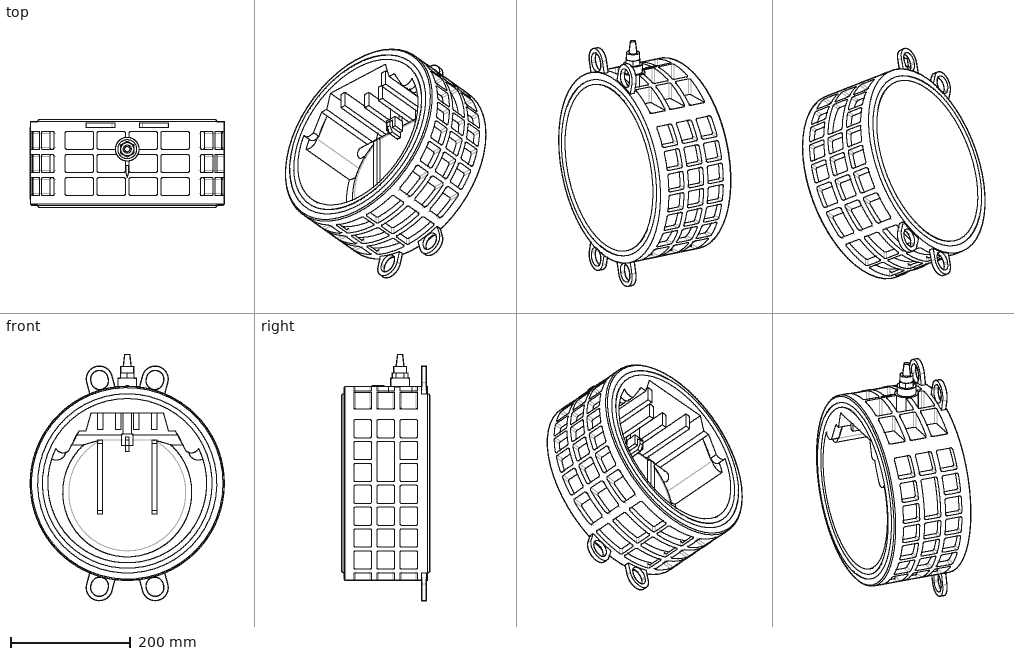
import cadquery as cq
import math

BODY_RADIUS = 162.5
BODY_HALF_LENGTH = 70.0
FRONT_CHAMFER = 2.2
BEAD_RADIUS = 4.0
BEAD_RING_RADIUS = 146.0
BORE_RADIUS = 133.0
PLATE_FACE_Y = 54.5
FRONT_WALL = 14.0
OVERSIZE = 20.0

ROOF_Z = 117.9
ROOF_HALF_WIDTH = 60.6
SHOULDER_Z = 88.0
SHOULDER_INNER_X = 69.0
SHOULDER_OUTER_X = 80.3
FRONT_LOBE_START = (98.4, 54.0)
FRONT_LOBE_MIDDLE = (108.5, 51.0)
FRONT_LOBE_END = (120.0, 59.7)
INNER_LOBE_START = (103.0, 51.5)
INNER_LOBE_MIDDLE = (114.5, 39.5)
INNER_LOBE_END = (127.5, 41.5)

POCKET_CORNER = 3.0
ROW_PITCH = 38.6
ROW_WIDTH = 29.8
ROWS_Y = (-ROW_PITCH, 0.0, ROW_PITCH)
TOP_POCKET_WIDTH = 47.8
TOP_POCKET_WEB = 5.6
TOP_POCKET_FLOOR_Z = 124.5
SIDE_POCKET_HEIGHT = 30.6
SIDE_POCKET_PITCH = 36.6
SIDE_POCKETS_ABOVE_AXIS = 3
SIDE_POCKETS_BELOW_AXIS = 4
POCKET_FLOOR_RADIUS = 150.0
BOTTOM_POCKET_INNER_X = 3.0
BOTTOM_POCKET_OUTER_X = 63.0

EYE_ANGLE = 15.0
EYE_DISTANCE = 180.6
EYE_RADIUS = 22.0
EYE_HOLE_RADIUS = 14.4
EYE_HOLE_STRETCH = 3.0
EYE_BACK_Y = 68.0
EYE_THICKNESS = 8.0

DISC_RADIUS = 108.0
DISC_CENTRE_Z = -15.0
DISC_FACE_Y = 35.0
DISC_RIM_FILLET = 10.0
HINGE_Z = 72.6
HINGE_RADIUS = 8.0
HINGE_HALF_LENGTH = 110.0
DISC_RIB_X = 45.5
DISC_RIB_WIDTH = 8.0
DISC_RIB_HEIGHT = 7.5
DISC_RIB_BOTTOM_Z = -51.0
DISC_RIB_BEVEL_LENGTH = 6.0
DISC_RIB_BEVEL_DEPTH = 4.0
ROOF_RIB_PITCH = 30.0
ROOF_RIB_WIDTH = 9.0
ROOF_RIB_BOTTOM_Z = 90.0
INNER_ROOF_RIB_FRONT_Y = -30.0

STEM_Y = 24.0
STEM_RADIUS = 7.3
COLUMN_RADIUS = 19.8
GLAND_RADIUS = 15.9
GLAND_TOP_Z = 176.0
NUT_CORNER_DIAMETER = 26.5
NUT_TOP_Z = 185.0
NECK_RADIUS = 11.0
NECK_TOP_Z = 196.0
TIP_BASE_RADIUS = 6.8
TIP_TOP_RADIUS = 4.4
TIP_TOP_Z = 216.1
HUB_WIDTH = 19.0
HUB_BOTTOM_Z = 63.0
HUB_TOP_Z = 83.0
ARM_WIDTH = 6.5
ARM_REACH = 6.0
ARM_TOP_Z = 78.0
ARM_UPPER_BEND_Z = 72.6
ARM_BOTTOM_Z = 53.0

POINTER_WIDTH = 3.4
POINTER_START_Y = -3.0
POINTER_SHOULDER_Y = -17.0
POINTER_TIP_Y = -23.0
POINTER_TOP_Z = 163.6
POINTER_HEIGHT = 6.0


def rod_along_y(radius, start_y, end_y):
    """Cylinder on the pipe axis."""
    return cq.Workplane("XZ", origin=(0, start_y, 0)).circle(radius).extrude(start_y - end_y)


def rod_along_z(radius, start_z, end_z):
    """Cylinder on the stem axis."""
    return cq.Workplane("XY", origin=(0, STEM_Y, start_z)).circle(radius).extrude(end_z - start_z)


def block(x_range, y_range, z_range):
    """Axis-aligned box from its limits."""
    size = [high - low for low, high in (x_range, y_range, z_range)]
    corner = (x_range[0], y_range[0], z_range[0])
    return cq.Workplane("XY").box(*size, centered=False).translate(corner)


def make_shell():
    """Plain drum with a rounded sealing bead on each end face."""
    shell = rod_along_y(BODY_RADIUS, -BODY_HALF_LENGTH, BODY_HALF_LENGTH)
    shell = shell.faces("<Y").chamfer(FRONT_CHAMFER)
    for end_y in (-BODY_HALF_LENGTH, BODY_HALF_LENGTH):
        bead = cq.Solid.makeTorus(
            BEAD_RING_RADIUS, BEAD_RADIUS, cq.Vector(0, end_y, 0), cq.Vector(0, 1, 0)
        )
        shell = shell.union(cq.Workplane(bead))
    return shell


def mirror_x(point):
    """Reflect an (x, z) point across X = 0."""
    return (-point[0], point[1])


def opening(start_y, end_y, lobe):
    """Bore cavity: the bore circle limited at the top by the stepped crown."""
    lobe_start, lobe_middle, lobe_end = lobe
    outside = BORE_RADIUS + OVERSIZE
    crown = (
        cq.Workplane("XZ", origin=(0, start_y, 0))
        .moveTo(-outside, -outside)
        .lineTo(-outside, lobe_end[1])
        .lineTo(*mirror_x(lobe_end))
        .threePointArc(mirror_x(lobe_middle), mirror_x(lobe_start))
        .lineTo(-SHOULDER_OUTER_X, SHOULDER_Z)
        .lineTo(-SHOULDER_INNER_X, SHOULDER_Z)
        .lineTo(-ROOF_HALF_WIDTH, ROOF_Z)
        .lineTo(ROOF_HALF_WIDTH, ROOF_Z)
        .lineTo(SHOULDER_INNER_X, SHOULDER_Z)
        .lineTo(SHOULDER_OUTER_X, SHOULDER_Z)
        .lineTo(*lobe_start)
        .threePointArc(lobe_middle, lobe_end)
        .lineTo(outside, lobe_end[1])
        .lineTo(outside, -outside)
        .close()
        .extrude(start_y - end_y)
    )
    return crown.intersect(rod_along_y(BORE_RADIUS, start_y, end_y))


def cut_bore(shell):
    """Cut the bore through the front wall and on to the closing plate."""
    wall_inner_y = -BODY_HALF_LENGTH + FRONT_WALL
    front_lobe = (FRONT_LOBE_START, FRONT_LOBE_MIDDLE, FRONT_LOBE_END)
    inner_lobe = (INNER_LOBE_START, INNER_LOBE_MIDDLE, INNER_LOBE_END)
    shell = shell.cut(opening(-BODY_HALF_LENGTH, wall_inner_y, front_lobe))
    return shell.cut(opening(wall_inner_y, PLATE_FACE_Y, inner_lobe))


def cut_top_pockets(shell):
    """Flat-floored pockets in the crown, four across in each row."""
    pitch = TOP_POCKET_WIDTH + TOP_POCKET_WEB
    for row_y in ROWS_Y:
        for column in (-1.5, -0.5, 0.5, 1.5):
            pocket = (
                cq.Workplane("XY", origin=(column * pitch, row_y, TOP_POCKET_FLOOR_Z))
                .rect(TOP_POCKET_WIDTH, ROW_WIDTH)
                .extrude(BODY_RADIUS + OVERSIZE - TOP_POCKET_FLOOR_Z)
                .edges("|Z")
                .fillet(POCKET_CORNER)
            )
            shell = shell.cut(pocket)
    return shell


def side_pocket(side, row_y, pocket_z, height):
    """Straight rounded cutter reaching out sideways from the pipe axis."""
    return (
        cq.Workplane("YZ", origin=(0, row_y, pocket_z))
        .rect(ROW_WIDTH, height)
        .extrude(side * (BODY_RADIUS + OVERSIZE))
        .edges("|X")
        .fillet(POCKET_CORNER)
    )


def bottom_pocket(side, row_y):
    """Straight rounded cutter reaching down from the pipe axis."""
    width = BOTTOM_POCKET_OUTER_X - BOTTOM_POCKET_INNER_X
    middle_x = side * (BOTTOM_POCKET_OUTER_X + BOTTOM_POCKET_INNER_X) / 2
    return (
        cq.Workplane("XY", origin=(middle_x, row_y, 0))
        .rect(width, ROW_WIDTH)
        .extrude(-BODY_RADIUS - OVERSIZE)
        .edges("|Z")
        .fillet(POCKET_CORNER)
    )


def cut_round_floor_pockets(shell):
    """Side and bottom pockets, all stopping at the same floor radius."""
    cutters = []
    for row_y in ROWS_Y:
        for side in (-1, 1):
            cutters.append(bottom_pocket(side, row_y))
            for index in range(-SIDE_POCKETS_BELOW_AXIS, SIDE_POCKETS_ABOVE_AXIS):
                pocket_z = (index + 0.5) * SIDE_POCKET_PITCH
                cutters.append(side_pocket(side, row_y, pocket_z, SIDE_POCKET_HEIGHT))

    joined_height = SIDE_POCKET_PITCH + SIDE_POCKET_HEIGHT
    cutters.append(side_pocket(1, 0.0, SIDE_POCKET_PITCH, joined_height))

    core = rod_along_y(POCKET_FLOOR_RADIUS, -BODY_HALF_LENGTH, BODY_HALF_LENGTH)
    for cutter in cutters:
        shell = shell.cut(cutter.cut(core))
    return shell


def make_eye(angle):
    """Lifting eye pointing radially outward, turned by angle from straight up."""
    plate = (
        cq.Workplane("XZ", origin=(0, EYE_BACK_Y, 0))
        .moveTo(-EYE_RADIUS, POCKET_FLOOR_RADIUS)
        .lineTo(-EYE_RADIUS, EYE_DISTANCE)
        .threePointArc((0, EYE_DISTANCE + EYE_RADIUS), (EYE_RADIUS, EYE_DISTANCE))
        .lineTo(EYE_RADIUS, POCKET_FLOOR_RADIUS)
        .close()
        .extrude(EYE_THICKNESS)
    )
    hole = (
        cq.Workplane("XZ", origin=(0, EYE_BACK_Y, EYE_DISTANCE - EYE_HOLE_STRETCH / 2))
        .slot2D(2 * EYE_HOLE_RADIUS + EYE_HOLE_STRETCH, 2 * EYE_HOLE_RADIUS, 90)
        .extrude(EYE_THICKNESS)
    )
    plate = plate.cut(hole)
    return plate.rotate((0, 0, 0), (0, 1, 0), angle)


def make_disc():
    """Flap disc, rounded at its rim, cut level with the hinge axis."""
    disc = (
        cq.Workplane("XZ", origin=(0, PLATE_FACE_Y, DISC_CENTRE_Z))
        .circle(DISC_RADIUS)
        .extrude(PLATE_FACE_Y - DISC_FACE_Y)
        .faces("<Y")
        .edges()
        .fillet(DISC_RIM_FILLET)
    )
    wide = (-DISC_RADIUS, DISC_RADIUS)
    above = block(wide, (DISC_FACE_Y, PLATE_FACE_Y), (HINGE_Z, HINGE_Z + DISC_RADIUS))
    return disc.cut(above)


def make_disc_rib(x):
    """Upright stiffener on the disc face with bevelled ends."""
    front_y = DISC_FACE_Y - DISC_RIB_HEIGHT
    bevel_y = front_y + DISC_RIB_BEVEL_DEPTH
    return (
        cq.Workplane("YZ", origin=(x - DISC_RIB_WIDTH / 2, 0, 0))
        .moveTo(DISC_FACE_Y, DISC_RIB_BOTTOM_Z)
        .lineTo(bevel_y, DISC_RIB_BOTTOM_Z)
        .lineTo(front_y, DISC_RIB_BOTTOM_Z + DISC_RIB_BEVEL_LENGTH)
        .lineTo(front_y, HINGE_Z - DISC_RIB_BEVEL_LENGTH)
        .lineTo(bevel_y, HINGE_Z)
        .lineTo(DISC_FACE_Y, HINGE_Z)
        .close()
        .extrude(DISC_RIB_WIDTH)
    )


def make_hinge_shaft():
    """Horizontal shaft whose front is tangent to the disc face."""
    return (
        cq.Workplane("YZ", origin=(-HINGE_HALF_LENGTH, DISC_FACE_Y + HINGE_RADIUS, HINGE_Z))
        .circle(HINGE_RADIUS)
        .extrude(2 * HINGE_HALF_LENGTH)
    )


def make_roof_rib(x, front_y):
    """Rib hanging from the bore roof, running from front_y back to the plate."""
    x_range = (x - ROOF_RIB_WIDTH / 2, x + ROOF_RIB_WIDTH / 2)
    y_range = (front_y, PLATE_FACE_Y)
    return block(x_range, y_range, (ROOF_RIB_BOTTOM_Z, ROOF_Z))


def make_stem():
    """Stepped drive stem from the hub inside the bore to the tapered tip."""
    stem = rod_along_z(STEM_RADIUS, HUB_BOTTOM_Z, TOP_POCKET_FLOOR_Z)
    stem = stem.union(rod_along_z(COLUMN_RADIUS, ROOF_Z, BODY_RADIUS))
    stem = stem.union(rod_along_z(GLAND_RADIUS, BODY_RADIUS, GLAND_TOP_Z))
    nut = (
        cq.Workplane("XY", origin=(0, STEM_Y, GLAND_TOP_Z))
        .polygon(6, NUT_CORNER_DIAMETER)
        .extrude(NUT_TOP_Z - GLAND_TOP_Z)
        .rotate((0, STEM_Y, 0), (0, STEM_Y, 1), 90)
    )
    stem = stem.union(nut)
    stem = stem.union(rod_along_z(NECK_RADIUS, NUT_TOP_Z, NECK_TOP_Z))
    tip = cq.Solid.makeCone(
        TIP_BASE_RADIUS, TIP_TOP_RADIUS, TIP_TOP_Z - NECK_TOP_Z, cq.Vector(0, STEM_Y, NECK_TOP_Z)
    )
    return stem.union(cq.Workplane(tip))


def make_hub():
    """Square hub on the stem with a narrow arm reaching back to the disc."""
    half = HUB_WIDTH / 2
    hub_front_y = STEM_Y - half
    hub = block((-half, half), (hub_front_y, STEM_Y + half), (HUB_BOTTOM_Z, HUB_TOP_Z))
    arm_front_y = hub_front_y - ARM_REACH
    arm = (
        cq.Workplane("YZ", origin=(-ARM_WIDTH / 2, 0, 0))
        .moveTo(DISC_FACE_Y, ARM_BOTTOM_Z)
        .lineTo(hub_front_y, ARM_BOTTOM_Z)
        .lineTo(arm_front_y, HUB_BOTTOM_Z)
        .lineTo(arm_front_y, ARM_UPPER_BEND_Z)
        .lineTo(hub_front_y, ARM_TOP_Z)
        .lineTo(STEM_Y, ARM_TOP_Z)
        .lineTo(DISC_FACE_Y, HUB_BOTTOM_Z)
        .close()
        .extrude(ARM_WIDTH)
    )
    return hub.union(arm)


def make_pointer():
    """Small arrow standing just proud of the crown."""
    half = POINTER_WIDTH / 2
    return (
        cq.Workplane("XY", origin=(0, 0, POINTER_TOP_Z))
        .moveTo(-half, POINTER_START_Y)
        .lineTo(half, POINTER_START_Y)
        .lineTo(half, POINTER_SHOULDER_Y)
        .lineTo(0, POINTER_TIP_Y)
        .lineTo(-half, POINTER_SHOULDER_Y)
        .close()
        .extrude(-POINTER_HEIGHT)
    )


body = cut_bore(make_shell())
body = cut_top_pockets(body)
body = cut_round_floor_pockets(body)

for eye_angle in (-EYE_ANGLE, EYE_ANGLE, 180 - EYE_ANGLE, 180 + EYE_ANGLE):
    body = body.union(make_eye(eye_angle))

body = body.union(make_disc())
body = body.union(make_hinge_shaft())
for rib_x in (-DISC_RIB_X, DISC_RIB_X):
    body = body.union(make_disc_rib(rib_x))
for side in (-1, 1):
    outer_rib = make_roof_rib(side * 1.5 * ROOF_RIB_PITCH, -BODY_HALF_LENGTH + FRONT_WALL)
    inner_rib = make_roof_rib(side * 0.5 * ROOF_RIB_PITCH, INNER_ROOF_RIB_FRONT_Y)
    body = body.union(outer_rib).union(inner_rib)

body = body.union(make_stem())
body = body.union(make_hub())
result = body.union(make_pointer())